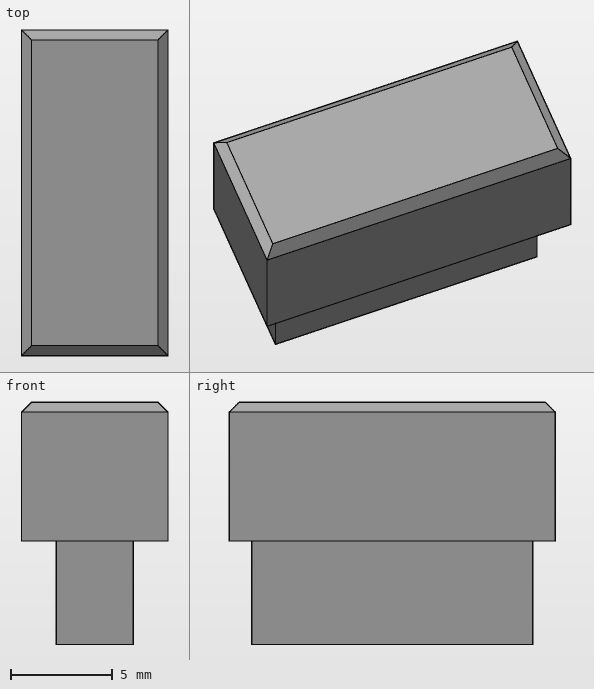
import cadquery as cq

head_width = 7.2
head_length = 16.0
head_height = 6.83
top_chamfer = 0.5

total_height = 11.9
stem_width = 3.8
stem_length = 13.8
stem_height = total_height - head_height


def make_head():
    """Block standing on the stem, with all four top edges chamfered."""
    block = cq.Workplane("XY").workplane(offset=stem_height).rect(head_width, head_length).extrude(head_height)
    return block.faces(">Z").edges().chamfer(top_chamfer)


def make_stem():
    """Plain block from the base plane up to the underside of the head."""
    return cq.Workplane("XY").rect(stem_width, stem_length).extrude(stem_height)


result = make_head().union(make_stem())